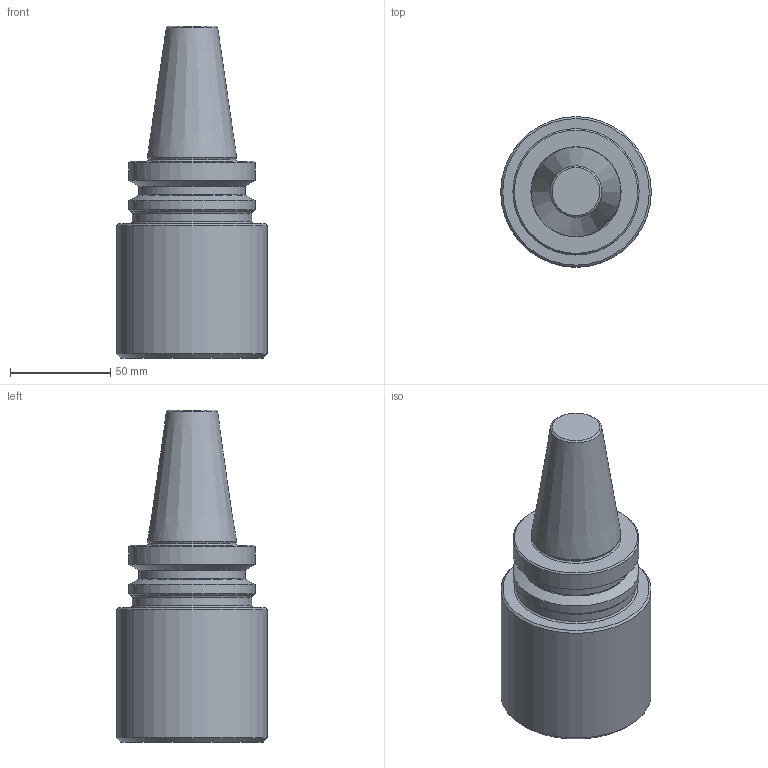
import cadquery as cq
import math

taper_length = 65.4
projection = 100.0

gauge_diameter = 44.45
taper_ratio = 7 / 24
tip_chamfer = 0.75

relief_diameter = 43.4
relief_cone_height = 1.0
relief_fillet = 0.8

flange_diameter = 62.95
flange_top_z = -2.0
flange_bottom_z = -27.0
flange_chamfer = 0.75
groove_center_z = -16.6
groove_mouth_width = 10.2
groove_floor_diameter = 53.0
groove_wall_angle = 30.0
groove_fillet = 0.4

neck_diameter = 59.7
neck_fillet = 0.85

body_diameter = 75.0
body_top_z = -33.0
body_top_chamfer = 1.0
body_bottom_chamfer = 2.0

gauge_radius = gauge_diameter / 2
tip_radius = gauge_radius - taper_length * taper_ratio / 2
relief_radius = relief_diameter / 2
flange_radius = flange_diameter / 2
groove_floor_radius = groove_floor_diameter / 2
groove_depth = flange_radius - groove_floor_radius
groove_wall_height = groove_depth * math.tan(math.radians(groove_wall_angle))
groove_mouth_top_z = groove_center_z + groove_mouth_width / 2
groove_mouth_bottom_z = groove_center_z - groove_mouth_width / 2
groove_floor_top_z = groove_mouth_top_z - groove_wall_height
groove_floor_bottom_z = groove_mouth_bottom_z + groove_wall_height
neck_radius = neck_diameter / 2
body_radius = body_diameter / 2
body_bottom_z = -projection


def make_holder():
    """Revolve the half section, with sharp inside corners, about the Z axis."""
    outline = [
        (0, taper_length),
        (tip_radius - tip_chamfer, taper_length),
        (tip_radius + tip_chamfer * taper_ratio / 2, taper_length - tip_chamfer),
        (gauge_radius, 0),
        (relief_radius, -relief_cone_height),
        (relief_radius, flange_top_z),
        (flange_radius - flange_chamfer, flange_top_z),
        (flange_radius, flange_top_z - flange_chamfer),
        (flange_radius, groove_mouth_top_z),
        (groove_floor_radius, groove_floor_top_z),
        (groove_floor_radius, groove_floor_bottom_z),
        (flange_radius, groove_mouth_bottom_z),
        (flange_radius, flange_bottom_z + flange_chamfer),
        (flange_radius - flange_chamfer, flange_bottom_z),
        (neck_radius, flange_bottom_z),
        (neck_radius, body_top_z),
        (body_radius - body_top_chamfer, body_top_z),
        (body_radius, body_top_z - body_top_chamfer),
        (body_radius, body_bottom_z + body_bottom_chamfer),
        (body_radius - body_bottom_chamfer, body_bottom_z),
        (0, body_bottom_z),
    ]
    return cq.Workplane("XZ").polyline(outline).close().revolve(360, (0, 0, 0), (0, 1, 0))


def fillet_corner(holder, radius, z, fillet):
    """Round the circular edge that has the given radius and height."""
    tolerance = 0.01
    corner = holder.edges("%CIRCLE").filter(
        lambda edge: abs(edge.radius() - radius) < tolerance and abs(edge.Center().z - z) < tolerance
    )
    return corner.fillet(fillet)


inside_corners = [
    (relief_radius, flange_top_z, relief_fillet),
    (groove_floor_radius, groove_floor_top_z, groove_fillet),
    (groove_floor_radius, groove_floor_bottom_z, groove_fillet),
    (neck_radius, flange_bottom_z, neck_fillet),
    (neck_radius, body_top_z, neck_fillet),
]

result = make_holder()
for corner_radius, corner_z, corner_fillet in inside_corners:
    result = fillet_corner(result, corner_radius, corner_z, corner_fillet)